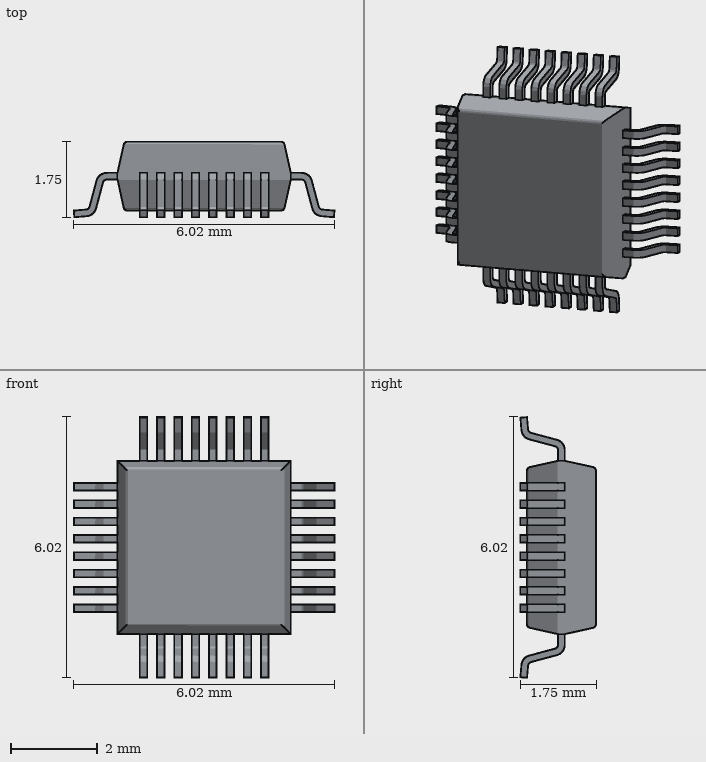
import cadquery as cq
import math


body_side = 4.0
body_height = 1.6
standoff = 0.15
band_height = 0.17
draft_angle = 12.5
rim_radius = 0.1

lead_count = 8
lead_pitch = 0.4
lead_width = 0.18
lead_thickness = 0.16
lead_span = 6.02
shoulder_length = 0.245
leg_angle = 75.0
foot_angle = 5.0
inner_bend_radius = 0.09
lead_embed = 0.1

band_bottom = standoff + (body_height - band_height) / 2
band_top = band_bottom + band_height
lead_level = (band_bottom + band_top) / 2
bend_radius = inner_bend_radius + lead_thickness / 2


def half_body(face_normal, band_face):
    """Tapered half of the body, from one face of the band to a rounded flat face."""
    plane = cq.Plane(origin=(0, band_face, 0), xDir=(1, 0, 0), normal=(0, face_normal, 0))
    depth = (body_height - band_height) / 2
    half = cq.Workplane(plane).rect(body_side, body_side).extrude(depth, taper=draft_angle)
    flat_face = ">Y" if face_normal > 0 else "<Y"
    return half.faces(flat_face).edges().fillet(rim_radius)


def make_body():
    """Two tapered halves joined by the straight parting band."""
    band = cq.Workplane("XY").box(body_side, band_height, body_side).translate((0, lead_level, 0))
    return band.union(half_body(1, band_top)).union(half_body(-1, band_bottom))


def lead_path():
    """Gull-wing centreline in the XY plane, on the +X side."""
    leg = math.radians(leg_angle)
    foot = math.radians(foot_angle)
    half_thickness = lead_thickness / 2

    upper_x = body_side / 2 + shoulder_length
    upper_center_y = lead_level - bend_radius

    def upper_point(angle):
        return (upper_x + bend_radius * math.sin(angle), upper_center_y + bend_radius * math.cos(angle))

    tip_x = lead_span / 2 - half_thickness * math.sin(foot)
    tip_y = half_thickness * math.cos(foot)

    leg_start = upper_point(leg)
    foot_drop_per_x = math.tan(foot)
    leg_drop_per_x = math.tan(leg)
    foot_line_y = tip_y + bend_radius / math.cos(foot)
    leg_line_y = leg_start[1] + bend_radius / math.cos(leg)
    lower_x = (
        leg_line_y - foot_line_y + leg_drop_per_x * leg_start[0] - foot_drop_per_x * tip_x
    ) / (leg_drop_per_x - foot_drop_per_x)
    lower_y = foot_line_y + foot_drop_per_x * (tip_x - lower_x)

    def lower_point(angle):
        return (lower_x - bend_radius * math.sin(angle), lower_y - bend_radius * math.cos(angle))

    return (
        cq.Workplane("XY")
        .moveTo(body_side / 2 - lead_embed, lead_level)
        .lineTo(upper_x, lead_level)
        .threePointArc(upper_point(leg / 2), leg_start)
        .lineTo(*lower_point(leg))
        .threePointArc(lower_point((leg + foot) / 2), lower_point(foot))
        .lineTo(tip_x, tip_y)
    )


def make_lead():
    """One lead of constant section swept along the gull-wing path."""
    section_plane = cq.Plane(
        origin=(body_side / 2 - lead_embed, lead_level, 0), xDir=(0, 1, 0), normal=(1, 0, 0)
    )
    return cq.Workplane(section_plane).rect(lead_thickness, lead_width).sweep(lead_path())


def make_package():
    """Body with a row of leads on each of its four sides."""
    package = make_body()
    lead = make_lead()
    for side in range(4):
        for index in range(lead_count):
            offset = (index - (lead_count - 1) / 2) * lead_pitch
            placed = lead.translate((0, 0, offset)).rotate((0, 0, 0), (0, 1, 0), 90 * side)
            package = package.union(placed)
    return package


result = make_package()